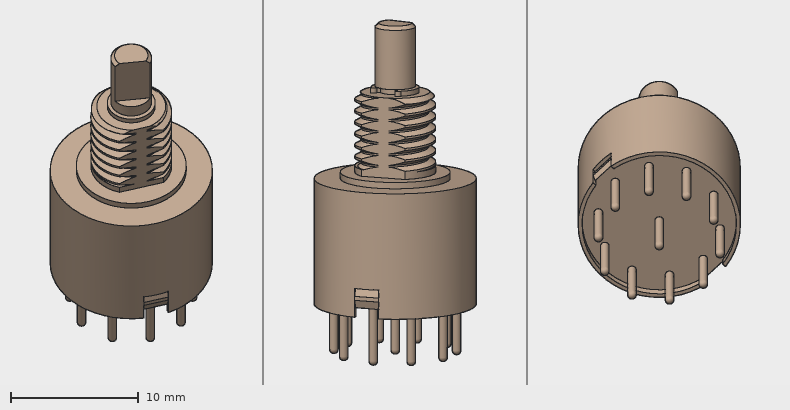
import cadquery as cq
import math


housing_diameter = 12.7
housing_radius = housing_diameter / 2
housing_height = 10.0
skirt_wall = 0.32
recess_depth = 0.7
flange_radius = 4.3
flange_height = 0.5

notch_width = 2.0
notch_height = 2.3
latch_reach = 0.2
latch_land = 0.32

bushing_radius = 3.17
bushing_height = 6.4
bushing_flat_width = 5.2
bushing_top_radius = 2.7
bushing_bevel_height = 0.4
collar_height = 0.53
thread_root_radius = 2.65
thread_root_flat = 0.13
thread_flank_angle = 30
thread_turns = 7
thread_pitch = bushing_height / thread_turns
groove_start_height = 0.48
groove_overcut = 0.05

shaft_diameter = 3.2
shaft_radius = shaft_diameter / 2
shaft_chamfer = 0.3
shaft_top = 22.4
shaft_flat_bottom = 18.37
shaft_flat_distance = 0.8
shaft_flat_angle = -10
neck_radius = 1.2
neck_height = 0.48
ring_radius = 1.87
ring_height = 0.4
ring_end_distance = 1.72
ring_end_radius = 0.26
ring_gap_direction = 165
ring_gap_angle = 87

pin_radius = 0.35
pin_length = 4.0
pin_circle_radius = 4.8
outer_pin_count = 10

flange_top = housing_height + flange_height
collar_top = flange_top + collar_height
bushing_top = flange_top + bushing_height


def cylinder(radius, bottom, top):
    return cq.Workplane("XY").workplane(offset=bottom).circle(radius).extrude(top - bottom)


def make_housing():
    """Cup with a recessed floor, a top flange and two notches filled by snap latches."""
    inner_radius = housing_radius - skirt_wall
    housing = cylinder(housing_radius, 0, housing_height)
    housing = housing.union(cylinder(flange_radius, housing_height, flange_top))
    housing = housing.cut(cylinder(inner_radius, 0, recess_depth))

    notch_ring = cylinder(housing_radius, 0, notch_height).cut(cylinder(inner_radius, 0, notch_height))
    notches = notch_ring.intersect(
        cq.Workplane("XY").box(3 * housing_radius, notch_width, 2 * notch_height)
    )
    housing = housing.cut(notches)

    latch_middle = (notch_height + recess_depth) / 2
    latch_tip = inner_radius + latch_reach
    latches = (
        cq.Workplane("XZ")
        .moveTo(-inner_radius, recess_depth)
        .lineTo(-latch_tip, latch_middle - latch_land / 2)
        .lineTo(-latch_tip, latch_middle + latch_land / 2)
        .lineTo(-inner_radius, notch_height)
        .lineTo(inner_radius, notch_height)
        .lineTo(latch_tip, latch_middle + latch_land / 2)
        .lineTo(latch_tip, latch_middle - latch_land / 2)
        .lineTo(inner_radius, recess_depth)
        .close()
        .extrude(notch_width / 2, both=True)
    )
    return housing.union(latches)


def make_groove_turn():
    """One right-handed turn of the thread groove, its mouth just outside the bushing."""
    cutter_radius = bushing_radius + groove_overcut
    root_half = thread_root_flat / 2
    flank_slope = math.tan(math.radians(thread_flank_angle))
    mouth_half = root_half + (cutter_radius - thread_root_radius) * flank_slope
    helix = cq.Wire.makeHelix(thread_pitch, thread_pitch, thread_root_radius)
    profile = (
        cq.Workplane("XZ")
        .moveTo(thread_root_radius, -root_half)
        .lineTo(cutter_radius, -mouth_half)
        .lineTo(cutter_radius, mouth_half)
        .lineTo(thread_root_radius, root_half)
        .close()
    )
    return profile.sweep(cq.Workplane(helix), isFrenet=True)


def make_bushing():
    """Threaded bushing with a bevelled top, a plain collar and two side flats."""
    bushing = (
        cq.Workplane("XZ")
        .moveTo(0, collar_top)
        .lineTo(bushing_radius, collar_top)
        .lineTo(bushing_radius, bushing_top - bushing_bevel_height)
        .lineTo(bushing_top_radius, bushing_top)
        .lineTo(0, bushing_top)
        .close()
        .revolve()
    )
    groove_turn = make_groove_turn()
    for turn in range(-1, thread_turns + 1):
        turn_bottom = flange_top + groove_start_height + turn * thread_pitch
        bushing = bushing.cut(groove_turn.translate((0, 0, turn_bottom)))
    bushing = bushing.union(cylinder(bushing_radius, flange_top, collar_top))
    flats = cq.Workplane("XY").box(bushing_flat_width, 3 * bushing_radius, 3 * bushing_top)
    return bushing.intersect(flats)


def make_shaft():
    """Chamfered shaft with a D flat on its upper part and a narrower neck at its foot."""
    neck_top = bushing_top + neck_height
    shaft = cylinder(shaft_radius, neck_top, shaft_top).faces(">Z").chamfer(shaft_chamfer)
    flat_cutter = (
        cq.Workplane("XY")
        .workplane(offset=shaft_flat_bottom)
        .center(shaft_flat_distance + shaft_radius, 0)
        .rect(2 * shaft_radius, 4 * shaft_radius)
        .extrude(shaft_top - shaft_flat_bottom)
        .rotate((0, 0, 0), (0, 0, 1), shaft_flat_angle)
    )
    return shaft.cut(flat_cutter).union(cylinder(neck_radius, bushing_top, neck_top))


def make_retaining_ring():
    """C-shaped ring with rounded, slightly bulging ends, seated around the neck of the shaft."""
    base = cq.Workplane("XY").workplane(offset=bushing_top)
    end_directions = []
    for side in (-1, 1):
        angle = math.radians(ring_gap_direction + side * ring_gap_angle / 2)
        end_directions.append((math.cos(angle), math.sin(angle)))

    gap_reach = 2 * ring_radius
    gap_outline = [(0, 0)] + [(gap_reach * x, gap_reach * y) for x, y in end_directions]
    gap = base.polyline(gap_outline).close().extrude(ring_height)
    end_centers = [(ring_end_distance * x, ring_end_distance * y) for x, y in end_directions]
    rounded_ends = base.pushPoints(end_centers).circle(ring_end_radius).extrude(ring_height)
    return base.circle(ring_radius).circle(neck_radius).extrude(ring_height).cut(gap).union(rounded_ends)


def make_pin():
    """Terminal pin on the Z axis with a hemispherical tip."""
    shoulder = pin_radius - pin_length
    return (
        cq.Workplane("XZ")
        .moveTo(0, notch_height)
        .lineTo(pin_radius, notch_height)
        .lineTo(pin_radius, shoulder)
        .radiusArc((0, -pin_length), pin_radius)
        .close()
        .revolve()
    )


result = make_housing().union(make_bushing()).union(make_shaft()).union(make_retaining_ring())

pin = make_pin()
result = result.union(pin)
outer_pin = pin.translate((pin_circle_radius, 0, 0))
for index in range(outer_pin_count):
    result = result.union(outer_pin.rotate((0, 0, 0), (0, 0, 1), index * 360 / outer_pin_count))